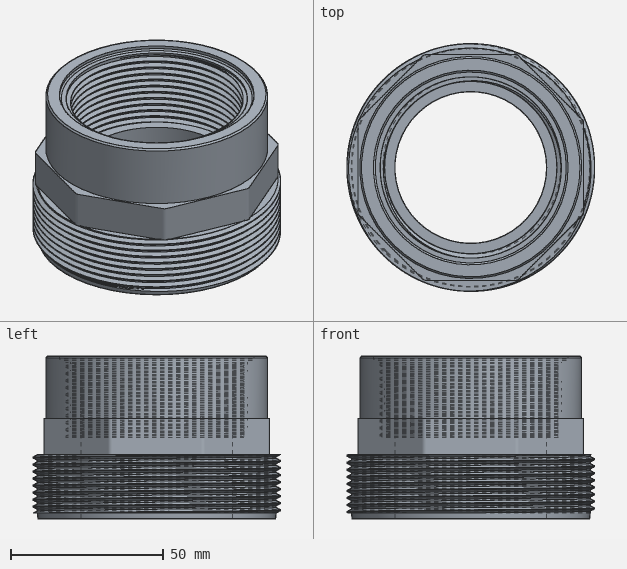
import cadquery as cq
import math

total_height = 53.6
shoulder_z = 21.2
octagon_top_z = 33.1
floor_z = 26.8

collar_diameter = 73.0
collar_chamfer = 0.6
octagon_sides = 8
octagon_flats = 74.2
octagon_corner_fillet = 1.7
through_bore_diameter = 49.8
mid_wall_diameter = 66.85

twelve_turn_rise = 27.7
pitch = twelve_turn_rise / 12
crest_width = 0.25
flank_half_angle = math.radians(55 / 2)
thread_start_angle = 180
root_overlap = 0.2

external_crest_diameter = 81.5
external_root_diameter = 78.6
external_start_z = 0.0
nose_height = 1.95
nose_diameter = 78.2

internal_crest_diameter = 56.7
internal_root_diameter = 59.6
internal_start_z = 24.1
internal_thread_top_z = 51.5

recess_diameter = 64.0
recess_wall_depth = 1.0
recess_floor_diameter = 62.8
recess_depth = 1.4


def thread_ridge(root_diameter, crest_diameter, start_z, end_z):
    """Right-handed helical ridge standing on a wall of root_diameter, outward or inward."""
    root_radius = root_diameter / 2
    crest_radius = crest_diameter / 2
    outward = math.copysign(1, crest_radius - root_radius)
    sunk_radius = root_radius - outward * root_overlap
    half_crest = crest_width / 2
    half_base = half_crest + abs(crest_radius - sunk_radius) * math.tan(flank_half_angle)
    profile = [
        (sunk_radius, -half_base),
        (crest_radius, -half_crest),
        (crest_radius, half_crest),
        (sunk_radius, half_base),
    ]
    helix = cq.Wire.makeHelix(pitch, end_z - start_z, root_radius)
    ridge = cq.Workplane("XZ").polyline(profile).close().sweep(cq.Workplane(helix), isFrenet=True)
    return ridge.rotate((0, 0, 0), (0, 0, 1), thread_start_angle).translate((0, 0, start_z))


def threaded_sleeve(root_diameter, crest_diameter, start_z, low_z, high_z):
    """Ring inside the wall carrying a thread, cut flush at low_z and high_z."""
    end_z = high_z + pitch
    sleeve_base_z = start_z - pitch
    sleeve = (
        cq.Workplane("XY")
        .workplane(offset=sleeve_base_z)
        .circle(max(root_diameter, mid_wall_diameter) / 2)
        .circle(min(root_diameter, mid_wall_diameter) / 2)
        .extrude(end_z + pitch - sleeve_base_z)
    )
    threaded = sleeve.union(thread_ridge(root_diameter, crest_diameter, start_z, end_z))
    waste_disc = cq.Workplane("XY").circle(external_crest_diameter).extrude(total_height)
    waste_below = waste_disc.translate((0, 0, low_z - total_height))
    waste_above = waste_disc.translate((0, 0, high_z))
    return threaded.cut(waste_below).cut(waste_above)


def turned_body():
    """Everything round except the threads: nose, core, collar, bore, socket and recess."""
    recess_floor_z = total_height - recess_depth
    half_section = [
        (through_bore_diameter / 2, 0),
        (nose_diameter / 2, 0),
        (external_root_diameter / 2, nose_height),
        (external_root_diameter / 2, shoulder_z),
        (collar_diameter / 2, shoulder_z),
        (collar_diameter / 2, total_height - collar_chamfer),
        (collar_diameter / 2 - collar_chamfer, total_height),
        (recess_diameter / 2, total_height),
        (recess_diameter / 2, total_height - recess_wall_depth),
        (recess_floor_diameter / 2, recess_floor_z),
        (internal_root_diameter / 2, recess_floor_z),
        (internal_root_diameter / 2, floor_z),
        (through_bore_diameter / 2, floor_z),
    ]
    return cq.Workplane("XZ").polyline(half_section).close().revolve(360, (0, 0, 0), (0, 1, 0))


def octagon_grip():
    """Ring with eight flats, reaching inward into the collar wall."""
    socket_core = cq.Workplane("XY").circle(mid_wall_diameter / 2).extrude(total_height)
    return (
        cq.Workplane("XY")
        .workplane(offset=shoulder_z)
        .polygon(octagon_sides, octagon_flats, circumscribed=True)
        .extrude(octagon_top_z - shoulder_z)
        .edges("|Z")
        .fillet(octagon_corner_fillet)
        .cut(socket_core)
    )


external_thread = threaded_sleeve(
    external_root_diameter, external_crest_diameter, external_start_z, nose_height, shoulder_z
)
internal_thread = threaded_sleeve(
    internal_root_diameter, internal_crest_diameter, internal_start_z, floor_z, internal_thread_top_z
)
result = turned_body().union(external_thread).union(internal_thread).union(octagon_grip())